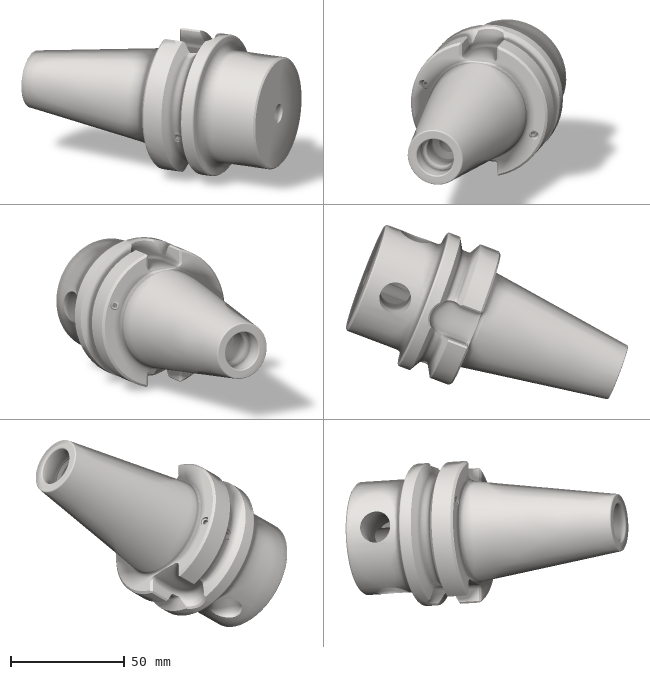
import cadquery as cq
import math

LENGTH = 119.4
FLANGE_RADIUS = 63.0 / 2

TAPER_RADIUS = 44.4 / 2
TAPER_LENGTH = 65.4
TAPER_RATIO = 7 / 24
TAPER_SMALL_RADIUS = TAPER_RADIUS - TAPER_LENGTH * TAPER_RATIO / 2
END_FILLET = 0.6
NECK_FILLET = 1.0

FLANGE_START = 67.3
FLANGE_END = 92.4
FLANGE_FRONT_CHAMFER = 1.0
FLANGE_BACK_FILLET = 0.8
GROOVE_START = 77.0
GROOVE_WIDTH = 9.7
GROOVE_CENTRE = GROOVE_START + GROOVE_WIDTH / 2
GROOVE_RADIUS = 26.4
GROOVE_WALL_ANGLE = 30.0
GROOVE_FILLET = 1.0

SHANK_RADIUS = 50.0 / 2
SHANK_FILLET = 3.0
SHANK_END_CHAMFER = 0.7

BORE_RADIUS = 17.0 / 2
RELIEF_RADIUS = 17.4 / 2
RELIEF_START = 6.9
RELIEF_END = 8.4
THREAD_RADIUS = 14.0 / 2
THREAD_START = 9.9
THREAD_CONE_ANGLE = 120.0
THREAD_END = 19.1
THROUGH_RADIUS = 8.5 / 2
DRILL_TIP_ANGLE = 118.0

SLOT_WIDTH = 16.1
SLOT_FLOOR = 22.6
SLOT_FLOOR_FILLET = 1.5
SLOT_ARC_CENTRE = 80.5
SLOT_RIM_CHAMFER = 0.8
SLOT_MOUTH_FLARE = 1.1
SLOT_MOUTH_DEPTH = 0.8

CLAMP_HOLE_DIAMETER = 14.0
CLAMP_HOLE_X = 105.4
CLAMP_HOLE_DIRECTIONS = ((0, 1, 0), (0, 0, -1))

FACE_SCREW_ANGLE = 20.0
GROOVE_SCREW_ANGLE = FACE_SCREW_ANGLE + 180
SCREW_END_CHAMFER = 0.4
FACE_SCREW_DIAMETER = 4.0
FACE_SCREW_LENGTH = 4.8
FACE_SCREW_KEY = 2.0
FACE_SCREW_TILT = 30.0
FACE_SCREW_PITCH_RADIUS = 27.0
FACE_SCREW_RECESS = FACE_SCREW_DIAMETER / 2 * math.tan(math.radians(FACE_SCREW_TILT))
GROOVE_SCREW_DIAMETER = 5.0
GROOVE_SCREW_LENGTH = 4.8
GROOVE_SCREW_KEY = 2.5
GROOVE_SCREW_RECESS = 0.2
KEY_DEPTH = 1.8

HALF_TURNS = (0, 180)

TOLERANCE = 0.01
CLEARANCE = 1.2

AXIS_START = (0, 0, 0)
AXIS_END = (1, 0, 0)
UP = (0, 0, 1)


def make_turned_body():
    """Taper, flange and shank, turned about the X axis."""
    wall_run = (FLANGE_RADIUS - GROOVE_RADIUS) * math.tan(math.radians(GROOVE_WALL_ANGLE))
    half_floor = GROOVE_WIDTH / 2 - wall_run
    neck_fillet_middle = NECK_FILLET * (1 - math.sqrt(0.5))
    shank_fillet_middle = SHANK_FILLET * (1 - math.sqrt(0.5))
    back_fillet_middle = FLANGE_BACK_FILLET * (1 - math.sqrt(0.5))
    profile = (
        cq.Workplane("XZ")
        .lineTo(0, TAPER_SMALL_RADIUS)
        .lineTo(TAPER_LENGTH, TAPER_RADIUS)
        .lineTo(FLANGE_START - NECK_FILLET, TAPER_RADIUS)
        .threePointArc(
            (FLANGE_START - neck_fillet_middle, TAPER_RADIUS + neck_fillet_middle),
            (FLANGE_START, TAPER_RADIUS + NECK_FILLET),
        )
        .lineTo(FLANGE_START, FLANGE_RADIUS - FLANGE_FRONT_CHAMFER)
        .lineTo(FLANGE_START + FLANGE_FRONT_CHAMFER, FLANGE_RADIUS)
        .lineTo(GROOVE_START, FLANGE_RADIUS)
        .lineTo(GROOVE_CENTRE - half_floor, GROOVE_RADIUS)
        .lineTo(GROOVE_CENTRE + half_floor, GROOVE_RADIUS)
        .lineTo(GROOVE_START + GROOVE_WIDTH, FLANGE_RADIUS)
        .lineTo(FLANGE_END - FLANGE_BACK_FILLET, FLANGE_RADIUS)
        .threePointArc(
            (FLANGE_END - back_fillet_middle, FLANGE_RADIUS - back_fillet_middle),
            (FLANGE_END, FLANGE_RADIUS - FLANGE_BACK_FILLET),
        )
        .lineTo(FLANGE_END, SHANK_RADIUS + SHANK_FILLET)
        .threePointArc(
            (FLANGE_END + shank_fillet_middle, SHANK_RADIUS + shank_fillet_middle),
            (FLANGE_END + SHANK_FILLET, SHANK_RADIUS),
        )
        .lineTo(LENGTH - SHANK_END_CHAMFER, SHANK_RADIUS)
        .lineTo(LENGTH, SHANK_RADIUS - SHANK_END_CHAMFER)
        .lineTo(LENGTH, 0)
        .close()
    )
    body = profile.revolve(360, AXIS_START, AXIS_END)
    reach = GROOVE_RADIUS + TOLERANCE
    groove_corners = cq.selectors.BoxSelector(
        (GROOVE_CENTRE - half_floor - TOLERANCE, -reach, -reach),
        (GROOVE_CENTRE + half_floor + TOLERANCE, reach, reach),
        boundingbox=True,
    )
    return body.edges(groove_corners).edges("%CIRCLE").fillet(GROOVE_FILLET)


def make_bore():
    """Pilot bore, threaded bore with a drilled bottom, and the hole through to the back."""
    cone_length = (BORE_RADIUS - THREAD_RADIUS) / math.tan(math.radians(THREAD_CONE_ANGLE / 2))
    tip_length = (THREAD_RADIUS - THROUGH_RADIUS) / math.tan(math.radians(DRILL_TIP_ANGLE / 2))
    return (
        cq.Workplane("XZ")
        .lineTo(0, BORE_RADIUS)
        .lineTo(RELIEF_START, BORE_RADIUS)
        .lineTo(RELIEF_START, RELIEF_RADIUS)
        .lineTo(RELIEF_END, RELIEF_RADIUS)
        .lineTo(RELIEF_END, BORE_RADIUS)
        .lineTo(THREAD_START - cone_length, BORE_RADIUS)
        .lineTo(THREAD_START, THREAD_RADIUS)
        .lineTo(THREAD_END, THREAD_RADIUS)
        .lineTo(THREAD_END + tip_length, THROUGH_RADIUS)
        .lineTo(LENGTH, THROUGH_RADIUS)
        .lineTo(LENGTH, 0)
        .close()
        .revolve(360, AXIS_START, AXIS_END)
    )


def make_drive_slot(turn):
    """Cutter for one drive slot: open towards the taper, round at its far end."""
    length = SLOT_ARC_CENTRE - TAPER_LENGTH + SLOT_WIDTH
    height = FLANGE_RADIUS - SLOT_FLOOR + CLEARANCE
    straight = (
        cq.Workplane("XY", origin=(SLOT_ARC_CENTRE - length / 2, 0, SLOT_FLOOR))
        .rect(length, SLOT_WIDTH)
        .extrude(height)
    )
    round_end = (
        cq.Workplane("XY", origin=(SLOT_ARC_CENTRE, 0, SLOT_FLOOR))
        .circle(SLOT_WIDTH / 2)
        .extrude(height)
    )
    slot = straight.union(round_end).faces("<Z").edges().fillet(SLOT_FLOOR_FILLET)
    return slot.rotate(AXIS_START, AXIS_END, turn)


def chamfer_slot_rims(body):
    """Break the edges that the drive slots leave on the two outer lands of the flange."""

    def is_slot_rim(edge):
        middle = edge.positionAt(0.5)
        on_land = math.hypot(middle.y, middle.z) > FLANGE_RADIUS - TOLERANCE
        box = edge.BoundingBox()
        beside_slot = max(-box.ymin, box.ymax) < SLOT_WIDTH / 2 + TOLERANCE
        return on_land and beside_slot

    rims = [edge for edge in body.edges().vals() if is_slot_rim(edge)]
    return body.newObject(rims).chamfer(SLOT_RIM_CHAMFER)


def slot_section(x, extra):
    """Cross-section of a drive slot at x, made wider by an extra amount on each side."""
    half_width = SLOT_WIDTH / 2 + extra
    fillet = SLOT_FLOOR_FILLET + extra
    fillet_middle = fillet * (1 - math.sqrt(0.5))
    top = FLANGE_RADIUS + CLEARANCE
    return (
        cq.Workplane("YZ", origin=(x, 0, 0))
        .moveTo(-half_width, top)
        .lineTo(-half_width, SLOT_FLOOR + fillet)
        .threePointArc(
            (-half_width + fillet_middle, SLOT_FLOOR + fillet_middle),
            (-half_width + fillet, SLOT_FLOOR),
        )
        .lineTo(half_width - fillet, SLOT_FLOOR)
        .threePointArc(
            (half_width - fillet_middle, SLOT_FLOOR + fillet_middle),
            (half_width, SLOT_FLOOR + fillet),
        )
        .lineTo(half_width, top)
        .close()
        .val()
    )


def make_slot_mouth(turn):
    """Cutter for the flared walls where a drive slot opens through the flange face."""
    sections = [
        slot_section(FLANGE_START, SLOT_MOUTH_FLARE),
        slot_section(FLANGE_START + SLOT_MOUTH_DEPTH, 0),
    ]
    mouth = cq.Workplane(cq.Solid.makeLoft(sections, True))
    return mouth.rotate(AXIS_START, AXIS_END, turn)


def make_clamp_hole(direction):
    """Cutter for a radial hole from the shank surface to the tool axis."""
    plane = cq.Plane(origin=(CLAMP_HOLE_X, 0, 0), xDir=AXIS_END, normal=direction)
    return cq.Workplane(plane).circle(CLAMP_HOLE_DIAMETER / 2).extrude(SHANK_RADIUS + CLEARANCE)


def make_screw(diameter, length, key):
    """Set screw with its socket end at the origin, running along +X."""
    return (
        cq.Workplane("YZ")
        .circle(diameter / 2)
        .extrude(length)
        .edges()
        .chamfer(SCREW_END_CHAMFER)
        .cut(
            cq.Workplane("YZ")
            .polygon(6, key, circumscribed=True)
            .extrude(KEY_DEPTH)
        )
    )


def make_screw_hole(diameter, mouth, length):
    """Cutter for a screw hole that continues in front of the screw by the length of its mouth."""
    return cq.Workplane("YZ", origin=(-mouth, 0, 0)).circle(diameter / 2).extrude(mouth + length)


def place_in_face(shape, turn):
    """Tilt a screw or its hole towards the axis and put it in the flange face."""
    tilt = math.radians(FACE_SCREW_TILT)
    return (
        shape.rotate(AXIS_START, UP, -FACE_SCREW_TILT)
        .translate((
            FLANGE_START + FACE_SCREW_RECESS * math.cos(tilt),
            FACE_SCREW_PITCH_RADIUS - FACE_SCREW_RECESS * math.sin(tilt),
            0,
        ))
        .rotate(AXIS_START, AXIS_END, FACE_SCREW_ANGLE + turn)
    )


def place_in_groove(shape):
    """Point a screw or its hole at the axis and put it in the groove floor."""
    return (
        shape.rotate(AXIS_START, UP, -90)
        .translate((GROOVE_CENTRE, GROOVE_RADIUS - GROOVE_SCREW_RECESS, 0))
        .rotate(AXIS_START, AXIS_END, GROOVE_SCREW_ANGLE)
    )


housing = make_turned_body().cut(make_bore())
housing = housing.faces("<X").edges().fillet(END_FILLET)
for turn in HALF_TURNS:
    housing = housing.cut(make_drive_slot(turn))
housing = chamfer_slot_rims(housing)
for turn in HALF_TURNS:
    housing = housing.cut(make_slot_mouth(turn))
for direction in CLAMP_HOLE_DIRECTIONS:
    housing = housing.cut(make_clamp_hole(direction))

face_hole = make_screw_hole(
    FACE_SCREW_DIAMETER, FACE_SCREW_RECESS + FACE_SCREW_DIAMETER, FACE_SCREW_LENGTH
)
face_screw = make_screw(FACE_SCREW_DIAMETER, FACE_SCREW_LENGTH, FACE_SCREW_KEY)
face_screws = []
for turn in HALF_TURNS:
    housing = housing.cut(place_in_face(face_hole, turn))
    face_screws.append(place_in_face(face_screw, turn).val())

groove_hole = make_screw_hole(GROOVE_SCREW_DIAMETER, GROOVE_SCREW_RECESS, GROOVE_SCREW_LENGTH)
groove_screw = place_in_groove(make_screw(GROOVE_SCREW_DIAMETER, GROOVE_SCREW_LENGTH, GROOVE_SCREW_KEY))
housing = housing.cut(place_in_groove(groove_hole))

result = cq.Compound.makeCompound([housing.val(), *face_screws, groove_screw.val()])